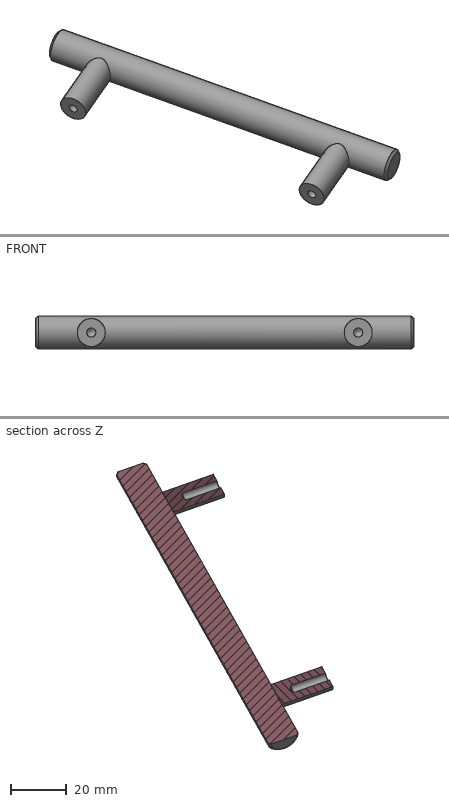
import cadquery as cq
import math

bar_length = 136.0
bar_diameter = 12.0
bar_chamfer = 1.0
post_diameter = 10.0
post_spacing = 96.0
overall_depth = 32.0
hole_diameter = 3.3
hole_depth = 13.6
drill_point_angle = 118.0

bar_radius = bar_diameter / 2
post_end_y = bar_radius - overall_depth

hole_radius = hole_diameter / 2
drill_point_depth = hole_radius / math.tan(math.radians(drill_point_angle / 2))


def make_rod():
    """Plain cylinder of the bar, along X and centred on the origin."""
    return cq.Workplane("YZ", origin=(-bar_length / 2, 0, 0)).circle(bar_radius).extrude(bar_length)


def make_bar():
    """Grip bar with both end rims chamfered."""
    return make_rod().faces("<X or >X").chamfer(bar_chamfer)


def make_screw_hole(x):
    """Drilled blind hole at the given X: half profile in XY turned about the post axis."""
    straight_end_y = post_end_y + hole_depth
    return (
        cq.Workplane("XY", origin=(x, 0, 0))
        .moveTo(0, post_end_y)
        .lineTo(hole_radius, post_end_y)
        .lineTo(hole_radius, straight_end_y)
        .lineTo(0, straight_end_y + drill_point_depth)
        .close()
        .revolve(360, (0, 0, 0), (0, 1, 0))
    )


def make_post(x):
    """Post at the given X: saddle-shaped against the bar, with a screw hole in its free end."""
    blank = cq.Workplane("XZ").center(x, 0).circle(post_diameter / 2).extrude(-post_end_y)
    return blank.cut(make_rod()).cut(make_screw_hole(x))


bar = make_bar()
posts = [make_post(side * post_spacing / 2) for side in (-1, 1)]

result = cq.Compound.makeCompound([bar.val(), *[post.val() for post in posts]])